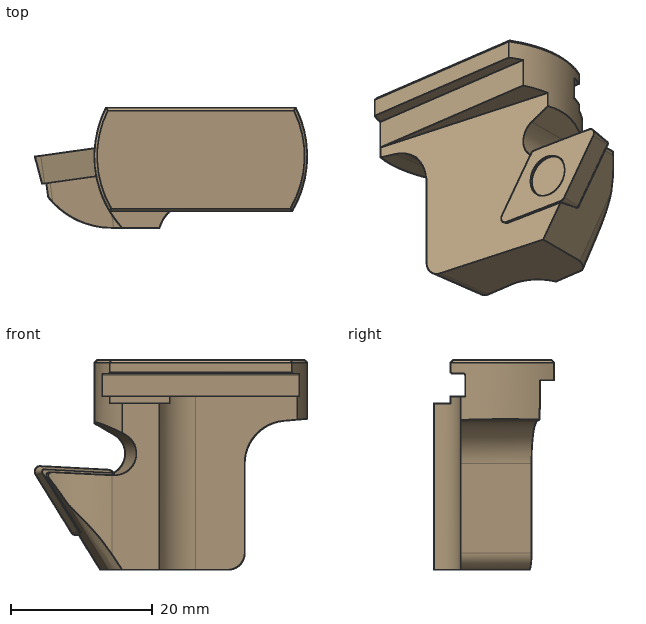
import cadquery as cq
import math

head_radius = 15.05
head_back = 6.85
head_front = -7.8
head_chamfer = 0.4
flange_edge_chamfer = 0.2
back_flange_depth = 2.9
front_flange_depth = 1.95
neck_back = 4.86
neck_front = -5.73
neck_depth = 6.9
groove_depth = 5.15
groove_fillet = 0.25
ledge_depth = 6.15

total_height = 29.68
shank_front = -6.37
shank_right = 6.22
shank_bottom_radius = 2.4
shoulder_radius = 6.0
shoulder_slope = 5.0
shoulder_end_depth = 8.35

jaw_front = -10.15
cove_radius = 5.25
cove_end_x = -0.8
jaw_plan_radius = 11.45
jaw_plan_start_x = -12.56

jaw_turn = 8.0
back_face_v = 2.77
throat_radius = 3.05
throat_u = -13.48
throat_z = -13.25
throat_slope = 30.0
insert_tilt = 3.0
insert_nose_angle = 55.0
jaw_nose_radius = 0.5
jaw_bottom_u = -13.95

bevel_start = cq.Vector(-13.05, -7.6, -total_height)
bevel_end = cq.Vector(-11.1, jaw_front, -total_height)
bevel_top = cq.Vector(-19.15, -7.75, -20.2)
bevel_bulge = 0.25

insert_circle = 9.525
insert_thickness = 3.97
insert_relief = 7.0
insert_corner_radius = 0.8
insert_proud = 0.45
insert_u = -15.06
insert_z = -20.15
screw_recess_diameter = 6.05
screw_recess_depth = 0.38

far = 60.0

flank_angle = insert_tilt + insert_nose_angle


def direction(angle):
    """Unit vector in a (horizontal, Z) plane, falling to the right by the angle in degrees."""
    return math.cos(math.radians(angle)), -math.sin(math.radians(angle))


def moved(point, way, distance):
    return point[0] + way[0] * distance, point[1] + way[1] * distance


def block(y_low, y_high, z_low, z_high):
    return (
        cq.Workplane("XY")
        .box(2 * far, y_high - y_low, z_high - z_low, centered=(True, False, False))
        .translate((0, y_low, z_low))
    )


def round_section(y_low, y_high, z_low, z_high):
    """Slice of the head cylinder between two flats."""
    cylinder = cq.Workplane("XY").workplane(offset=z_low).circle(head_radius).extrude(z_high - z_low)
    return cylinder.intersect(block(y_low, y_high, z_low, z_high))


def jaw_plane(v):
    """Sketch plane at distance v along the insert normal; local X is u, local Y is Z."""
    turn = math.radians(jaw_turn)
    normal = cq.Vector(-math.sin(turn), math.cos(turn), 0)
    along = cq.Vector(math.cos(turn), math.sin(turn), 0)
    return cq.Plane(origin=(normal * v).toTuple(), xDir=along.toTuple(), normal=(normal * -1).toTuple())


def make_head():
    flange = round_section(head_front, head_back, -back_flange_depth, 0)
    flange = flange.faces(">Z").edges().chamfer(head_chamfer)
    flange = flange.cut(block(-far, neck_front, -far, -front_flange_depth))
    front_lower_edge = cq.selectors.NearestToPointSelector((0, head_front, -front_flange_depth))
    flange = flange.edges(front_lower_edge).chamfer(flange_edge_chamfer)
    neck = round_section(neck_front, neck_back, -neck_depth, -front_flange_depth)
    inner_corner = cq.selectors.NearestToPointSelector((0, neck_front, -front_flange_depth))
    return flange.union(neck).edges(inner_corner).fillet(groove_fillet)


def shank_plan(z_low, z_high):
    """Shank outline seen along Z, with the cove and the round end of the jaw."""
    cove_centre_y = shank_front - cove_radius
    cove_start_x = cove_end_x - math.sqrt(cove_radius**2 - (jaw_front - cove_centre_y) ** 2)
    jaw_end_y = jaw_front + jaw_plan_radius
    return (
        cq.Workplane("XY")
        .workplane(offset=z_low)
        .moveTo(head_radius, shank_front)
        .lineTo(cove_end_x, shank_front)
        .radiusArc((cove_start_x, jaw_front), -cove_radius)
        .lineTo(jaw_plan_start_x, jaw_front)
        .radiusArc((jaw_plan_start_x - jaw_plan_radius, jaw_end_y), jaw_plan_radius)
        .lineTo(jaw_plan_start_x - jaw_plan_radius, head_back)
        .lineTo(head_radius, head_back)
        .close()
        .extrude(z_high - z_low)
    )


def behind_back_face():
    """Space behind the flat that the insert seat is cut into."""
    return cq.Workplane(jaw_plane(back_face_v)).rect(2 * far, 2 * far).extrude(-far)


def right_clearance():
    """Space right of the shank, under the sloping shoulder of the head."""
    slope = math.radians(shoulder_slope)
    centre_x = shank_right + shoulder_radius
    arc_end_x = centre_x - shoulder_radius * math.sin(slope)
    arc_end_z = -shoulder_end_depth - (head_radius - arc_end_x) * math.tan(slope)
    centre_z = arc_end_z - shoulder_radius * math.cos(slope)
    rise = (far - arc_end_x) * math.tan(slope)
    bottom = -total_height
    return (
        cq.Workplane("XZ")
        .moveTo(shank_right - shank_bottom_radius, bottom)
        .radiusArc((shank_right, bottom + shank_bottom_radius), -shank_bottom_radius)
        .lineTo(shank_right, centre_z)
        .radiusArc((arc_end_x, arc_end_z), shoulder_radius)
        .lineTo(far, arc_end_z + rise)
        .lineTo(far, bottom)
        .close()
        .extrude(far, both=True)
    )


def jaw_clearance():
    """Space left of the jaw flank, above the jaw and inside the throat."""
    top_way = direction(insert_tilt)
    flank_way = direction(flank_angle)
    throat_way = direction(throat_slope)
    throat = (throat_u, throat_z)
    throat_bottom = moved(throat, (top_way[1], -top_way[0]), throat_radius)
    throat_side = (throat_u + throat_radius, throat_z)
    throat_top = moved(throat, (-throat_way[1], throat_way[0]), throat_radius)

    gap_u = throat_bottom[0] - jaw_bottom_u
    gap_z = throat_bottom[1] + total_height
    crossing = flank_way[0] * top_way[1] - flank_way[1] * top_way[0]
    top_length = (flank_way[1] * gap_u - flank_way[0] * gap_z) / crossing
    nose = moved(throat_bottom, top_way, top_length)
    tangent_length = jaw_nose_radius / math.tan(math.radians(insert_nose_angle / 2))
    return (
        cq.Workplane(jaw_plane(0))
        .moveTo(jaw_bottom_u, -total_height)
        .lineTo(*moved(nose, flank_way, tangent_length))
        .radiusArc(moved(nose, top_way, tangent_length), jaw_nose_radius)
        .lineTo(*throat_bottom)
        .threePointArc(throat_side, throat_top)
        .lineTo(*moved(throat_top, throat_way, -far))
        .lineTo(-far, -total_height)
        .close()
        .extrude(far, both=True)
    )


def bevel_clearance():
    """Space outside a shallow arc that is swept along the slope of the bevel."""
    chord = bevel_end - bevel_start
    outward = cq.Vector(chord.y, -chord.x, 0).normalized()
    crown = (bevel_start + bevel_end) * 0.5 + outward * bevel_bulge
    slope = bevel_top - bevel_start
    arc = cq.Edge.makeThreePointArc(bevel_start, crown, bevel_end)
    corner = bevel_start + cq.Vector(0, 2 * chord.y, 0)
    outer_end = bevel_end + cq.Vector(0, chord.y, 0)
    sides = cq.Wire.makePolygon([bevel_end, outer_end, corner, bevel_start])
    outline = cq.Wire.assembleEdges([arc, *sides.Edges()])
    return cq.Workplane(cq.Solid.extrudeLinear(outline, [], slope * 2))


def make_insert_blank():
    """Rhombic insert with relieved flanks, without its screw recess."""
    edge = insert_circle / math.sin(math.radians(insert_nose_angle))
    top_way = direction(insert_tilt)
    flank_way = direction(flank_angle)
    centre = (insert_u, insert_z)
    nose = moved(moved(centre, top_way, -edge / 2), flank_way, -edge / 2)
    top_corner = moved(nose, top_way, edge)
    corners = [nose, top_corner, moved(top_corner, flank_way, edge), moved(nose, flank_way, edge)]
    face = cq.Workplane(jaw_plane(back_face_v + insert_proud))
    outline = cq.Sketch().polygon([*corners, nose]).vertices().fillet(insert_corner_radius)
    return face.placeSketch(outline).extrude(insert_thickness, taper=insert_relief)


def make_screw_recess():
    """Shallow round recess for the clamping screw head."""
    face = cq.Workplane(jaw_plane(back_face_v + insert_proud)).center(insert_u, insert_z)
    return face.circle(screw_recess_diameter / 2).extrude(screw_recess_depth)


def make_holder(insert_blank):
    upper = shank_plan(throat_z, -groove_depth)
    upper = upper.intersect(round_section(-far, far, throat_z, -groove_depth))
    upper = upper.cut(block(-far, head_front, -ledge_depth, far))
    shank = upper.union(shank_plan(-total_height, throat_z))
    shank = shank.cut(behind_back_face()).cut(right_clearance())
    shank = shank.cut(jaw_clearance()).cut(bevel_clearance())
    return make_head().union(shank).cut(insert_blank)


insert_blank = make_insert_blank()
holder = make_holder(insert_blank)
insert = insert_blank.cut(make_screw_recess())

result = cq.Compound.makeCompound([holder.solids().val(), insert.solids().val()])